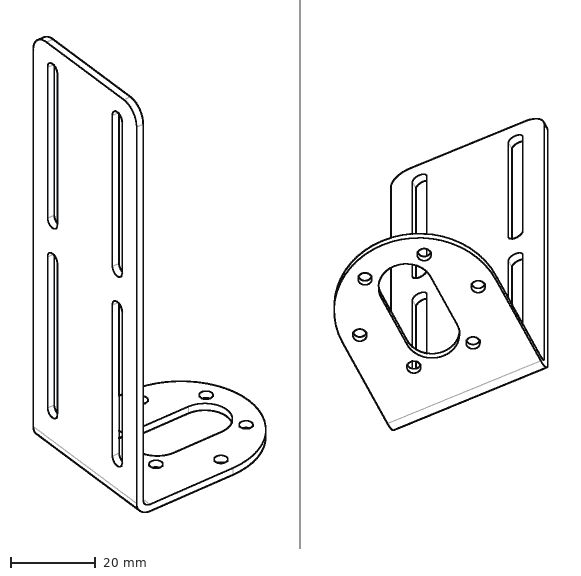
import cadquery as cq

width = 40.0
depth = 48.5
height = 117.0
thickness = 2.0
bend_inner_radius = 2.0
bend_outer_radius = bend_inner_radius + thickness
top_corner_radius = 5.0

slot_width = 3.7
slot_length = 47.0
slot_spacing_x = 25.0
slot_spacing_z = 54.4
slot_group_center_z = 61.3

base_end_radius = width / 2
mount_center_y = depth - base_end_radius
shaft_slot_width = 13.0
shaft_slot_length = 27.1
mount_hole_diameter = 3.3
mount_hole_circle_radius = 15.5
mount_hole_count = 6


def make_bent_strip():
    """L-shaped sheet: upright front face on y = 0, base underside on z = 0."""
    outer = cq.Workplane("XY").box(width, depth, height, centered=(True, False, False))
    outer = outer.edges("|X and <Y and <Z").fillet(bend_outer_radius)
    inner = (
        cq.Workplane("XY")
        .box(width, depth, height, centered=(True, False, False))
        .edges("|X and <Y and <Z")
        .fillet(bend_inner_radius)
        .translate((0, thickness, thickness))
    )
    return outer.cut(inner)


def round_base_end(body):
    """Keep the base inside a full-width semicircular end."""
    outline = (
        cq.Workplane("XY")
        .moveTo(-width / 2, 0)
        .lineTo(width / 2, 0)
        .lineTo(width / 2, mount_center_y)
        .threePointArc((0, depth), (-width / 2, mount_center_y))
        .close()
        .extrude(height)
    )
    return body.intersect(outline)


def make_adjustment_slots():
    """Two columns of two vertical slots through the upright plate."""
    return (
        cq.Workplane("XZ")
        .center(0, slot_group_center_z)
        .rarray(slot_spacing_x, slot_spacing_z, 2, 2)
        .slot2D(slot_length, slot_width, 90)
        .extrude(-thickness)
    )


def make_mount_openings():
    """Central shaft slot surrounded by a ring of screw holes."""
    mount_plane = cq.Workplane("XY").center(0, mount_center_y)
    shaft_slot = mount_plane.slot2D(shaft_slot_length, shaft_slot_width, 90).extrude(thickness)
    screw_holes = (
        mount_plane.polarArray(mount_hole_circle_radius, 0, 360, mount_hole_count)
        .circle(mount_hole_diameter / 2)
        .extrude(thickness)
    )
    return shaft_slot.union(screw_holes)


bracket = round_base_end(make_bent_strip())
bracket = bracket.edges("|Y and >Z").fillet(top_corner_radius)
bracket = bracket.cut(make_adjustment_slots())
result = bracket.cut(make_mount_openings())